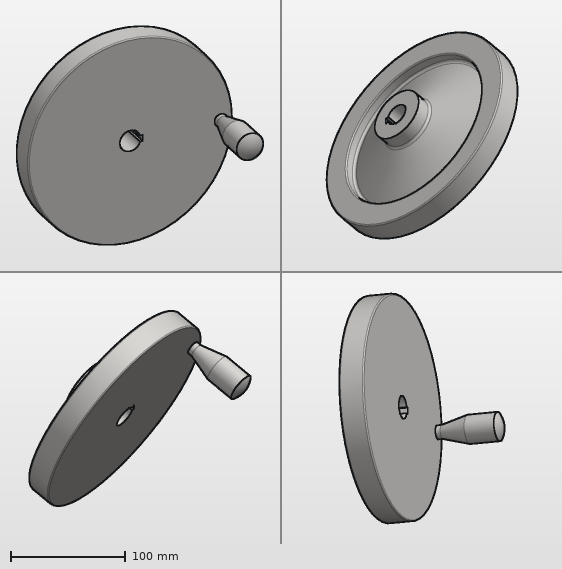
import cadquery as cq
import math

rim_front = 23.0
rim_back = 46.0
neck_end = 50.2
grip_start = 75.0
dome_start = 102.8
handle_tip = 106.8

wheel_radius = 100.0
rim_inner_diameter = 154.2
rim_inner_radius = rim_inner_diameter / 2
rim_edge_fillet = 1.2
hub_radius = 25.0
hub_root_fillet = 2.8
web_root_fillet = 2.2
web_start = 14.5
web_angle = 21.0

bore_radius = 10.0
keyway_width = 5.6
keyway_reach = 12.5

neck_radius = 6.2
grip_diameter = 26.0
grip_radius = grip_diameter / 2
overall_length = 201.5
handle_offset = overall_length - wheel_radius - grip_radius


def revolve_about_x(sketch):
    return sketch.close().revolve(360, (0, 0, 0), (1, 0, 0))


def make_wheel():
    """Hub, conical web and rim, with a flat back."""
    web_end = web_start + (rim_inner_radius - hub_radius) * math.tan(math.radians(web_angle))
    wheel = revolve_about_x(
        cq.Workplane("XY")
        .lineTo(0, hub_radius)
        .lineTo(web_start, hub_radius)
        .lineTo(web_end, rim_inner_radius)
        .lineTo(rim_front, rim_inner_radius)
        .lineTo(rim_front, wheel_radius)
        .lineTo(rim_back, wheel_radius)
        .lineTo(rim_back, 0)
    )

    def circle_at(x, radius):
        return cq.selectors.BoxSelector(
            (x - 0.2, -radius - 2, -radius - 2),
            (x + 0.2, radius + 2, radius + 2),
            boundingbox=True,
        )

    wheel = wheel.edges(circle_at(web_start, hub_radius)).fillet(hub_root_fillet)
    wheel = wheel.edges(circle_at(web_end, rim_inner_radius)).fillet(web_root_fillet)
    for x in (rim_front, rim_back):
        wheel = wheel.edges(circle_at(x, wheel_radius)).fillet(rim_edge_fillet)
    return wheel


def make_bore():
    """Through bore with a keyway on the +Y side."""
    bore = cq.Workplane("YZ").circle(bore_radius).extrude(rim_back)
    keyway = cq.Workplane("XY").box(rim_back, keyway_reach, keyway_width, centered=(False, False, True))
    return bore.union(keyway)


def make_handle():
    """Neck, taper, cylindrical grip and domed tip, standing on the back of the rim."""
    dome_height = handle_tip - dome_start
    dome_radius = (grip_radius**2 + dome_height**2) / (2 * dome_height)
    half_angle = math.asin(grip_radius / dome_radius) / 2
    dome_middle = (
        handle_tip - dome_radius * (1 - math.cos(half_angle)),
        dome_radius * math.sin(half_angle),
    )
    handle = revolve_about_x(
        cq.Workplane("XY")
        .moveTo(rim_back, 0)
        .lineTo(rim_back, neck_radius)
        .lineTo(neck_end, neck_radius)
        .lineTo(grip_start, grip_radius)
        .lineTo(dome_start, grip_radius)
        .threePointArc(dome_middle, (handle_tip, 0))
    )
    return handle.translate((0, handle_offset, 0))


result = make_wheel().cut(make_bore()).union(make_handle())